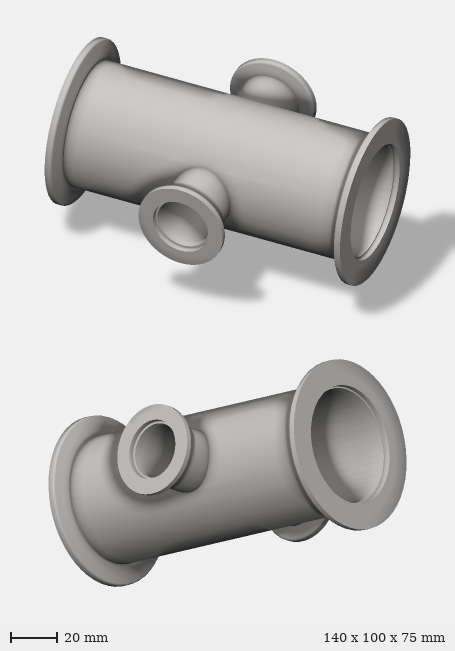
import cadquery as cq
import math

pipe_span = 140.0
pipe_outer_d = 57.0
pipe_bore_d = 50.6
pipe_flange_d = 75.0
pipe_recess_d = 52.3
pipe_flange_thickness = 5.0
pipe_socket_depth = 1.0

port_span = 100.0
port_outer_d = 28.0
port_bore_d = 24.0
port_flange_d = 40.0
port_recess_d = 26.2

rim_width = 3.0
rim_fillet = 1.0
cone_angle = math.radians(15.0)
recess_depth = 2.5
recess_fillet = 0.3

port_flange_thickness = rim_width + (port_flange_d - port_outer_d) / 2 * math.tan(cone_angle)
tube_length = pipe_span - 2 * (pipe_flange_thickness - pipe_socket_depth)


def clamp_flange(flange_d, bore_d, recess_d, thickness):
    """Flange ring around Z: sealing face at Z = 0, cone narrowing towards Z = thickness."""
    rim_r = flange_d / 2
    bore_r = bore_d / 2
    recess_r = recess_d / 2
    hub_r = rim_r - (thickness - rim_width) / math.tan(cone_angle)

    turn = math.pi / 2 - cone_angle
    fillet_center_r = rim_r - rim_fillet
    fillet_start_z = rim_width - rim_fillet * math.tan(turn / 2)

    def rim_fillet_point(angle):
        return (
            fillet_center_r + rim_fillet * math.cos(angle),
            fillet_start_z + rim_fillet * math.sin(angle),
        )

    corner_r = recess_r - recess_fillet
    corner_z = recess_depth - recess_fillet
    corner_mid = recess_fillet * math.sqrt(0.5)

    return (
        cq.Workplane("XZ")
        .moveTo(recess_r, 0)
        .lineTo(rim_r, 0)
        .lineTo(rim_r, fillet_start_z)
        .threePointArc(rim_fillet_point(turn / 2), rim_fillet_point(turn))
        .lineTo(hub_r, thickness)
        .lineTo(bore_r, thickness)
        .lineTo(bore_r, recess_depth)
        .lineTo(corner_r, recess_depth)
        .threePointArc((corner_r + corner_mid, corner_z + corner_mid), (recess_r, corner_z))
        .close()
        .revolve(360, (0, 0), (0, 1))
    )


def at_pipe_end(flange, side):
    """Turn a flange to face out along X and move it to the end of the pipe."""
    return flange.rotate((0, 0, 0), (0, 1, 0), -90 * side).translate((side * pipe_span / 2, 0, 0))


def at_port_end(flange, side):
    """Turn a flange to face out along Y and move it to the end of a port."""
    return flange.rotate((0, 0, 0), (1, 0, 0), 90 * side).translate((0, side * port_span / 2, 0))


def x_cylinder(diameter, length):
    return cq.Workplane("YZ").circle(diameter / 2).extrude(length / 2, both=True)


def y_cylinder(diameter, length):
    return cq.Workplane("XZ").circle(diameter / 2).extrude(length / 2, both=True)


port_tube_span = port_span - 2 * port_flange_thickness
cross_body = (
    x_cylinder(pipe_outer_d, tube_length)
    .union(y_cylinder(port_outer_d, port_tube_span))
    .cut(x_cylinder(pipe_bore_d, tube_length))
    .cut(y_cylinder(port_bore_d, port_tube_span))
)
port_flange = clamp_flange(port_flange_d, port_bore_d, port_recess_d, port_flange_thickness)
for side in (1, -1):
    cross_body = cross_body.union(at_port_end(port_flange, side))

pipe_flange = clamp_flange(pipe_flange_d, pipe_bore_d, pipe_recess_d, pipe_flange_thickness)
socket = (
    cq.Workplane("XY")
    .workplane(offset=pipe_flange_thickness - pipe_socket_depth)
    .circle(pipe_outer_d / 2)
    .extrude(pipe_socket_depth)
)
pipe_flange = pipe_flange.cut(socket)
pipe_flanges = [at_pipe_end(pipe_flange, side) for side in (1, -1)]

result = cq.Compound.makeCompound([cross_body.val(), *[flange.val() for flange in pipe_flanges]])